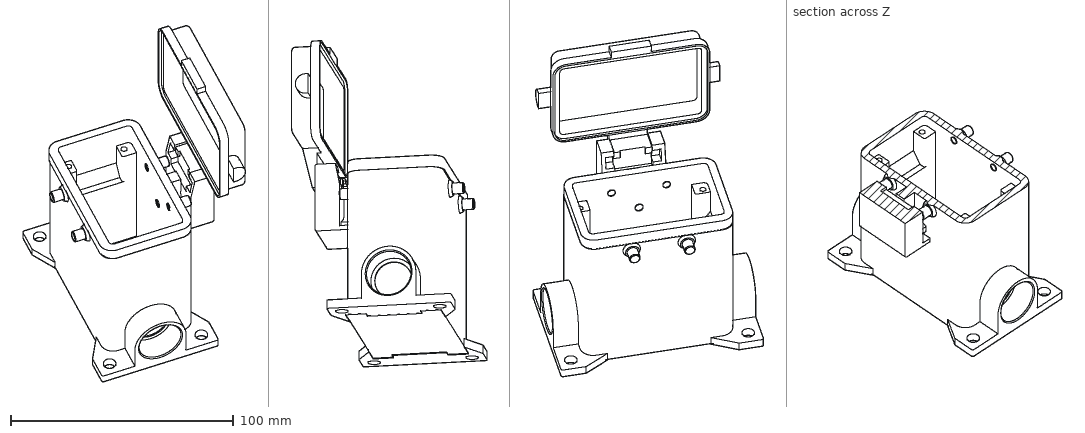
import cadquery as cq
import math

body_half_x = 35.2
body_half_y = 21.8
body_corner_radius = 6.0
body_bottom = 0.4
rim_top = 73.0
rim_height = 5.5
rim_front_step = 0.5
rim_half_x = 35.0
cavity_half_x = 31.3
cavity_half_y = 17.9
cavity_corner_radius = 2.0
floor_top = 4.3

post_inner_x = 24.2
post_inner_y = 11.0
post_top = 61.5
post_edge_radius = 0.8
ledge_top = 44.4
ramp_width = 4.1
ramp_rise = 5.6
screw_x = 28.4
screw_y = 13.5
screw_hole_diameter = 2.7
screw_hole_depth = 10.7

foot_half_x = 93.5 / 2
foot_half_y = 28.4
foot_height = 4.0
foot_straight_x = 35.3
foot_tip_x = 23.8
foot_slope_deg = 30.0
foot_corner_radius = 1.0
foot_hole_x = 40.9
foot_hole_y = 22.3
foot_hole_diameter = 5.6

entry_radius = 12.5
entry_height = 15.2
entry_bore_radius = 10.2
entry_mouth_chamfer = 0.5
knockout_radius = 8.4
knockout_depth = 0.7

pin_x = 12.7
pin_height = 63.5
pin_diameter = 5.0
pin_chamfer = 0.4
pin_foot_diameter = 8.0
pin_foot_top_diameter = 6.4
pin_foot_height = 1.5
dimple_diameter = 3.5
dimple_depth = 0.4
hinge_dimple_height = 52.4
hinge_dimple_diameter = 3.7

bracket_half_x = 14.7
bracket_back = 39.5
bracket_bottom = 46.3
bracket_top = 77.6
bracket_front = 28.2
bracket_top_front = 30.1
bracket_shoulder = 68.0
bracket_back_radius = 1.1
lip_front = 23.7
lip_thickness = 2.0
cheek_thickness = 1.9
centre_half_x = 8.8
centre_top = 76.2
centre_ledge = 65.5
panel_top_front = 31.3
panel_foot_front = 31.7
lug_inner_x = 5.8
lug_front = 30.5
lug_bottom = 72.8
notch_bottom = 69.0
notch_top = 74.9
notch_back = 32.8

saddle_web_half_x = 2.7
saddle_top = 67.1
saddle_flare_top = 59.3
saddle_flare_x = 5.4
saddle_flare_bottom = 53.8
saddle_flare_bulge = 0.7
saddle_foot_half_x = 10.2
saddle_foot_top = 51.2

cover_half_x = 36.2
cover_bottom = 84.5
cover_top = 130.5
cover_front = 33.5
cover_corner_radius = 6.2
flange_thickness = 4.1
shell_half_x = 34.2
shell_bottom = 87.1
shell_top = 128.1
shell_back = 47.0
shell_corner_radius = 4.0
shell_edge_radius = 1.6
seat_depth = 1.2
seat_margin = 1.0
hollow_half_x = 32.8
hollow_bottom = 88.0
hollow_top = 127.0
hollow_corner_radius = 2.0
hollow_depth = 9.4
tab_half_x = 9.2
tab_top = 133.8
ear_tip_x = 41.9
ear_radius = 4.5
ear_height = 107.5
ear_depth = 5.9
arm_half_x = 8.8
arm_bottom = 68.6
arm_tip_back = 41.7
arm_root_back = 46.1


def block(x_range, y_range, z_range):
    """Axis-aligned box between the given limits."""
    size = [high - low for low, high in (x_range, y_range, z_range)]
    corner = (x_range[0], y_range[0], z_range[0])
    return cq.Workplane("XY").box(*size, centered=False).translate(corner)


def rounded_block(x_range, y_range, z_range, radius, axis="Z"):
    """Box whose edges along one axis are rounded."""
    return block(x_range, y_range, z_range).edges("|" + axis).fillet(radius)


def side_profile(points, half_x):
    """Outline in (Y, Z), extruded symmetrically about X = 0."""
    return cq.Workplane("YZ").polyline(points).close().extrude(half_x, both=True)


def both_ends(shape):
    """The shape with its mirror image on the opposite X side."""
    return shape.union(shape.mirror("YZ"))


def make_body():
    rim_base = rim_top - rim_height
    walls = rounded_block(
        (-body_half_x, body_half_x),
        (-body_half_y, body_half_y),
        (body_bottom, rim_base),
        body_corner_radius,
    )
    rim = rounded_block(
        (-rim_half_x, rim_half_x),
        (-body_half_y - rim_front_step, body_half_y),
        (rim_base, rim_top),
        body_corner_radius,
    )
    return walls.union(rim)


def make_cavity():
    return rounded_block(
        (-cavity_half_x, cavity_half_x),
        (-cavity_half_y, cavity_half_y),
        (floor_top, rim_top),
        cavity_corner_radius,
    )


def make_post_end():
    """Two screw posts and the ramped ledge between them, at the +X end."""
    ramp_top = ledge_top + ramp_rise
    wall_middle_x = (cavity_half_x + body_half_x) / 2
    ledge = (
        cq.Workplane("XZ")
        .moveTo(post_inner_x, floor_top)
        .lineTo(wall_middle_x, floor_top)
        .lineTo(wall_middle_x, ramp_top)
        .lineTo(cavity_half_x, ramp_top)
        .lineTo(cavity_half_x - ramp_width, ledge_top)
        .lineTo(post_inner_x, ledge_top)
        .close()
        .extrude(cavity_half_y, both=True)
    )
    for side in (-1, 1):
        y_range = sorted((side * post_inner_y, side * cavity_half_y))
        post = block((post_inner_x, cavity_half_x), y_range, (floor_top, post_top))
        inner_edge = "<X and " + ("<Y" if side > 0 else ">Y")
        post = post.edges("|Z").edges(inner_edge).fillet(post_edge_radius)
        hole = cq.Workplane("XY", origin=(screw_x, side * screw_y, post_top - screw_hole_depth))
        hole = hole.circle(screw_hole_diameter / 2).extrude(screw_hole_depth)
        ledge = ledge.union(post).cut(hole)
    return ledge


def make_foot():
    """Foot plate at the +X end, narrowing under the body."""
    tip_y = foot_half_y - (foot_straight_x - foot_tip_x) * math.tan(math.radians(foot_slope_deg))
    outline = [
        (foot_half_x, -foot_half_y),
        (foot_half_x, foot_half_y),
        (foot_straight_x, foot_half_y),
        (foot_tip_x, tip_y),
        (foot_tip_x, -tip_y),
        (foot_straight_x, -foot_half_y),
    ]
    foot = cq.Workplane("XY").polyline(outline).close().extrude(foot_height)
    foot = foot.edges("|Z and >X").fillet(foot_corner_radius)
    inside_body = block((0, body_half_x), (-body_half_y, body_half_y), (0, body_bottom))
    return foot.cut(inside_body)


def make_foot_holes():
    places = [(x, y) for x in (-foot_hole_x, foot_hole_x) for y in (-foot_hole_y, foot_hole_y)]
    return cq.Workplane("XY").pushPoints(places).circle(foot_hole_diameter / 2).extrude(foot_height)


def make_entry():
    """Arched cable entry at the +X end."""
    return (
        cq.Workplane("YZ", origin=(cavity_half_x, 0, 0))
        .moveTo(-entry_radius, 0)
        .lineTo(-entry_radius, entry_height)
        .threePointArc((0, entry_height + entry_radius), (entry_radius, entry_height))
        .lineTo(entry_radius, 0)
        .close()
        .extrude(foot_half_x - cavity_half_x)
    )


def make_entry_bore():
    """Bore with a chamfered mouth, ending at the body wall in a recessed knockout."""
    wall_x = body_half_x
    mouth_x = foot_half_x
    mouth_radius = entry_bore_radius + entry_mouth_chamfer
    return (
        cq.Workplane("XY", origin=(0, 0, entry_height))
        .moveTo(wall_x - knockout_depth, 0)
        .lineTo(wall_x - knockout_depth, knockout_radius)
        .lineTo(wall_x, knockout_radius)
        .lineTo(wall_x, entry_bore_radius)
        .lineTo(mouth_x - entry_mouth_chamfer, entry_bore_radius)
        .lineTo(mouth_x, mouth_radius)
        .lineTo(mouth_x, 0)
        .close()
        .revolve(360, (0, 0, 0), (1, 0, 0))
    )


def make_pin(x):
    """Locking pin on the back wall: conical foot and chamfered tip."""
    root_y = (cavity_half_y + body_half_y) / 2
    foot_end_y = body_half_y + pin_foot_height
    pin_radius = pin_diameter / 2
    return (
        cq.Workplane("XY", origin=(x, 0, pin_height))
        .moveTo(0, root_y)
        .lineTo(pin_foot_diameter / 2, root_y)
        .lineTo(pin_foot_diameter / 2, body_half_y)
        .lineTo(pin_foot_top_diameter / 2, foot_end_y)
        .lineTo(pin_radius, foot_end_y)
        .lineTo(pin_radius, foot_half_y - pin_chamfer)
        .lineTo(pin_radius - pin_chamfer, foot_half_y)
        .lineTo(0, foot_half_y)
        .close()
        .revolve(360, (0, 0, 0), (0, 1, 0))
    )


def make_dimple(x, z, diameter):
    """Shallow round recess in the inner face of the back wall."""
    centre = cq.Workplane("XZ", origin=(x, cavity_half_y + dimple_depth, z))
    return centre.circle(diameter / 2).extrude(dimple_depth)


def make_bracket():
    profile = [
        (bracket_back, bracket_bottom),
        (bracket_back, bracket_top),
        (bracket_top_front, bracket_top),
        (bracket_front, bracket_shoulder),
        (bracket_front, bracket_bottom + lip_thickness),
        (lip_front, bracket_bottom + lip_thickness),
        (lip_front, bracket_bottom),
    ]
    bracket = side_profile(profile, bracket_half_x)
    bracket = bracket.edges("|X and >Y").fillet(bracket_back_radius)

    bracket = bracket.cut(
        block((-centre_half_x, centre_half_x), (0, bracket_back), (centre_top, bracket_top))
    )
    panel_relief = [
        (0, centre_top),
        (panel_top_front, centre_top),
        (panel_foot_front, centre_ledge),
        (0, centre_ledge),
    ]
    bracket = bracket.cut(side_profile(panel_relief, centre_half_x))

    lug = block((lug_inner_x, centre_half_x), (lug_front, notch_back), (lug_bottom, centre_top))
    bracket = bracket.union(both_ends(lug))

    notch = block(
        (centre_half_x, bracket_half_x - cheek_thickness), (0, notch_back), (notch_bottom, notch_top)
    )
    return bracket.cut(both_ends(notch))


def make_saddle():
    base = bracket_bottom + lip_thickness
    reach = bracket_front - (cavity_half_y + body_half_y) / 2
    flare_middle = (
        saddle_web_half_x + (1 - saddle_flare_bulge) * (saddle_flare_x - saddle_web_half_x),
        saddle_flare_top - saddle_flare_bulge * (saddle_flare_top - saddle_flare_bottom),
    )
    half = (
        cq.Workplane("XZ", origin=(0, bracket_front, 0))
        .moveTo(0, base)
        .lineTo(0, saddle_top)
        .lineTo(saddle_web_half_x, saddle_top)
        .lineTo(saddle_web_half_x, saddle_flare_top)
        .threePointArc(flare_middle, (saddle_flare_x, saddle_flare_bottom))
        .lineTo(saddle_foot_half_x, saddle_foot_top)
        .lineTo(saddle_foot_half_x, base)
        .close()
        .extrude(reach)
    )
    return both_ends(half)


def make_cover():
    flange_back = cover_front + flange_thickness
    cover = rounded_block(
        (-cover_half_x, cover_half_x),
        (cover_front, flange_back),
        (cover_bottom, cover_top),
        cover_corner_radius,
        "Y",
    )
    shell = rounded_block(
        (-shell_half_x, shell_half_x),
        (cover_front + seat_depth, shell_back),
        (shell_bottom, shell_top),
        shell_corner_radius,
        "Y",
    )
    shell = shell.faces(">Y").edges().fillet(shell_edge_radius)
    tab = block((-tab_half_x, tab_half_x), (cover_front, flange_back), (ear_height, tab_top))

    ear_centre_y = flange_back + ear_depth - ear_radius
    ears = (
        cq.Workplane("YZ")
        .moveTo(flange_back, ear_height - ear_radius)
        .lineTo(ear_centre_y, ear_height - ear_radius)
        .threePointArc((flange_back + ear_depth, ear_height), (ear_centre_y, ear_height + ear_radius))
        .lineTo(flange_back, ear_height + ear_radius)
        .close()
        .extrude(ear_tip_x, both=True)
    )

    arm_root = shell_bottom + shell_edge_radius
    arm_profile = [
        (bracket_back, arm_bottom),
        (arm_tip_back, arm_bottom),
        (arm_root_back, shell_bottom),
        (arm_root_back - shell_edge_radius, arm_root),
        (flange_back, arm_root),
        (flange_back, cover_bottom),
        (bracket_back, cover_bottom),
    ]
    cover = cover.union(shell).union(tab).union(ears).union(side_profile(arm_profile, arm_half_x))

    seat_back = cover_front + seat_depth
    seat = rounded_block(
        (-cover_half_x + seat_margin, cover_half_x - seat_margin),
        (cover_front, seat_back),
        (cover_bottom + seat_margin, cover_top - seat_margin),
        cover_corner_radius - seat_margin,
        "Y",
    )
    hollow = rounded_block(
        (-hollow_half_x, hollow_half_x),
        (cover_front, seat_back + hollow_depth),
        (hollow_bottom, hollow_top),
        hollow_corner_radius,
        "Y",
    )
    return cover.cut(seat).cut(hollow)


hood = make_body().union(both_ends(make_foot())).union(both_ends(make_entry()))
hood = hood.cut(make_cavity()).cut(both_ends(make_entry_bore()))
hood = hood.union(both_ends(make_post_end())).cut(make_foot_holes())
hood = hood.union(make_saddle())

for pin_place in (-pin_x, pin_x):
    pin = make_pin(pin_place)
    dimple = make_dimple(pin_place, pin_height, dimple_diameter)
    hood = hood.union(pin).union(pin.mirror("XZ"))
    hood = hood.cut(dimple).cut(dimple.mirror("XZ"))

hood = hood.cut(make_dimple(0, hinge_dimple_height, hinge_dimple_diameter))

result = hood.union(make_bracket()).union(make_cover())